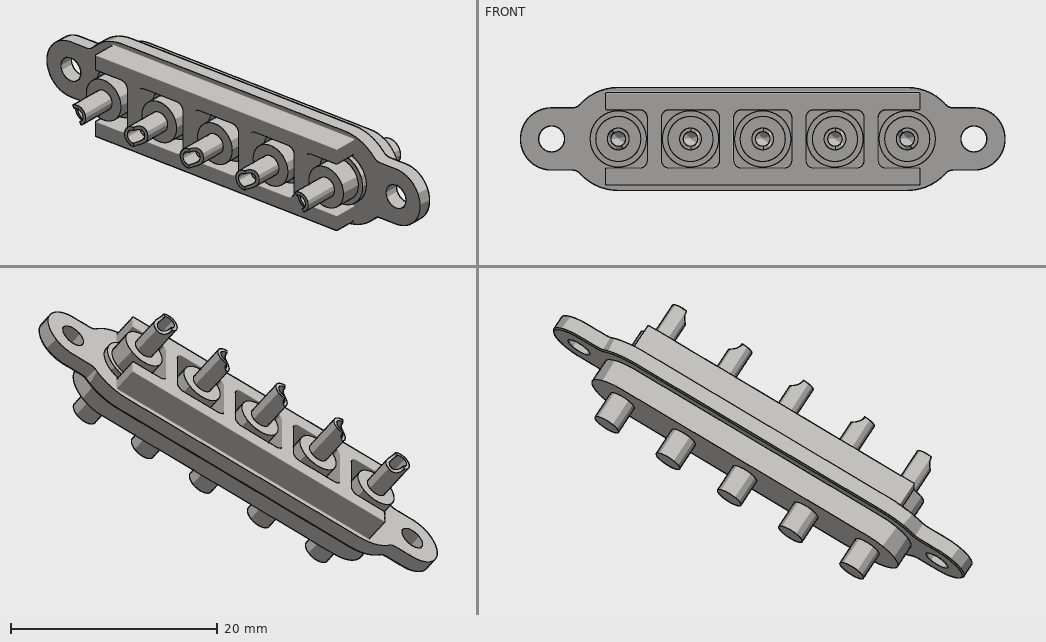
import cadquery as cq
import math


CONTACT_COUNT = 5
CONTACT_PITCH = 7.0
ROW_HALF_LENGTH = CONTACT_PITCH * (CONTACT_COUNT - 1) / 2

PLATE_LENGTH = 47.0
PLATE_HEIGHT = 10.0
PLATE_THICKNESS = 1.6
PLATE_REAR_CHAMFER = 0.15
EAR_WIDTH = 6.05
EAR_BLEND_RADIUS = 1.0
MOUNTING_HOLE_DIAMETER = 2.5

BLOCK_HEIGHT = 7.0
BLOCK_REAR_Y = 4.0

FRAME_LENGTH = 30.45
FRAME_HEIGHT = 9.0
FRAME_DEPTH = 2.7
FRAME_EDGE_RADIUS = 0.1
FRAME_BASE_RADIUS = 0.1
CELL_SIZE = 5.65
CELL_CORNER_RADIUS = 0.75

FLANGE_DIAMETER = 5.45
FLANGE_THICKNESS = 0.55
COLLAR_DIAMETER = 4.35
COLLAR_FRONT_DEPTH = 2.8
TAIL_DIAMETER = 2.1
TAIL_FRONT_DEPTH = 6.8
PIN_DIAMETER = 2.73
PIN_REAR_Y = 7.0
PIN_DOME_HEIGHT = 0.15

CUP_DIAMETER = 1.4
CUP_DEPTH = 1.9
CUP_POINT_ANGLE = 118.0
CUP_NOTCH_RADIUS = 1.0
END_CONTACT_TURN = 210.0


def contact_x_positions():
    return [-ROW_HALF_LENGTH + CONTACT_PITCH * index for index in range(CONTACT_COUNT)]


def face_at(y):
    """Sketch plane at the given Y with sketch axes along +X and +Z; it extrudes toward -Y."""
    return cq.Workplane("XZ", origin=(0, y, 0))


def make_plate():
    end_radius = PLATE_HEIGHT / 2
    ear_radius = EAR_WIDTH / 2
    ear_x = PLATE_LENGTH / 2 - ear_radius

    blend_z = ear_radius + EAR_BLEND_RADIUS
    centre_distance = end_radius + EAR_BLEND_RADIUS
    blend_x = ROW_HALF_LENGTH + math.sqrt(centre_distance**2 - blend_z**2)
    share = end_radius / centre_distance
    touch_x = ROW_HALF_LENGTH + (blend_x - ROW_HALF_LENGTH) * share
    touch_z = blend_z * share

    quarter = (
        face_at(PLATE_THICKNESS)
        .lineTo(0, end_radius)
        .lineTo(ROW_HALF_LENGTH, end_radius)
        .radiusArc((touch_x, touch_z), end_radius)
        .radiusArc((blend_x, ear_radius), -EAR_BLEND_RADIUS)
        .lineTo(ear_x, ear_radius)
        .radiusArc((ear_x + ear_radius, 0), ear_radius)
        .close()
        .extrude(PLATE_THICKNESS)
    )
    half = quarter.union(quarter.mirror("XY"))
    plate = half.union(half.mirror("YZ")).clean()
    plate = plate.faces(">Y").edges().chamfer(PLATE_REAR_CHAMFER)
    holes = (
        face_at(PLATE_THICKNESS)
        .pushPoints([(-ear_x, 0), (ear_x, 0)])
        .circle(MOUNTING_HOLE_DIAMETER / 2)
        .extrude(PLATE_THICKNESS)
    )
    return plate.cut(holes)


def make_rear_block():
    return (
        face_at(BLOCK_REAR_Y)
        .slot2D(2 * ROW_HALF_LENGTH + BLOCK_HEIGHT, BLOCK_HEIGHT)
        .extrude(BLOCK_REAR_Y)
    )


def make_front_frame():
    frame = face_at(0).rect(FRAME_LENGTH, FRAME_HEIGHT).extrude(FRAME_DEPTH)
    cells = (
        face_at(0)
        .pushPoints([(x, 0) for x in contact_x_positions()])
        .rect(CELL_SIZE, CELL_SIZE)
        .extrude(FRAME_DEPTH)
        .edges("|Y")
        .fillet(CELL_CORNER_RADIUS)
    )
    open_end = (
        face_at(0)
        .pushPoints([(-FRAME_LENGTH / 2, 0), (FRAME_LENGTH / 2, 0)])
        .rect(FRAME_LENGTH - 2 * ROW_HALF_LENGTH, CELL_SIZE)
        .extrude(FRAME_DEPTH)
    )
    frame = frame.cut(cells).cut(open_end)
    frame = frame.faces("<X or >X").edges("|Y").fillet(FRAME_EDGE_RADIUS)
    return frame.faces("<Y").edges().fillet(FRAME_EDGE_RADIUS)


def fillet_frame_base(housing):
    """Round the inside corner where the frame walls stand on the plate."""
    half_x = FRAME_LENGTH / 2 + FRAME_BASE_RADIUS
    half_y = FRAME_BASE_RADIUS / 2
    half_z = FRAME_HEIGHT / 2 + FRAME_BASE_RADIUS
    base_edges = cq.selectors.BoxSelector((-half_x, -half_y, -half_z), (half_x, half_y, half_z))
    return housing.edges(base_edges).fillet(FRAME_BASE_RADIUS)


def make_housing():
    contact_holes = (
        face_at(BLOCK_REAR_Y)
        .pushPoints([(x, 0) for x in contact_x_positions()])
        .circle(PIN_DIAMETER / 2)
        .extrude(BLOCK_REAR_Y)
    )
    solid_housing = make_plate().union(make_rear_block()).union(make_front_frame())
    return fillet_frame_base(solid_housing).cut(contact_holes)


def make_turned_body():
    """Stepped contact: tail, collar and flange in front, pin with a shallow domed tip at the rear."""
    tail_radius = TAIL_DIAMETER / 2
    collar_radius = COLLAR_DIAMETER / 2
    flange_radius = FLANGE_DIAMETER / 2
    pin_radius = PIN_DIAMETER / 2
    pin_shoulder_y = PIN_REAR_Y - PIN_DOME_HEIGHT
    dome_radius = (pin_radius**2 + PIN_DOME_HEIGHT**2) / (2 * PIN_DOME_HEIGHT)
    stepped_outline = [
        (0, PIN_REAR_Y),
        (0, -TAIL_FRONT_DEPTH),
        (tail_radius, -TAIL_FRONT_DEPTH),
        (tail_radius, -COLLAR_FRONT_DEPTH),
        (collar_radius, -COLLAR_FRONT_DEPTH),
        (collar_radius, -FLANGE_THICKNESS),
        (flange_radius, -FLANGE_THICKNESS),
        (flange_radius, 0),
        (pin_radius, 0),
        (pin_radius, pin_shoulder_y),
    ]
    return (
        cq.Workplane("XY")
        .polyline(stepped_outline)
        .radiusArc((0, PIN_REAR_Y), -dome_radius)
        .close()
        .revolve(360, (0, 0), (0, 1))
    )


def make_cup_bore():
    cup_radius = CUP_DIAMETER / 2
    bottom_y = CUP_DEPTH - TAIL_FRONT_DEPTH
    point_length = cup_radius / math.tan(math.radians(CUP_POINT_ANGLE / 2))
    profile = [
        (0, -TAIL_FRONT_DEPTH),
        (cup_radius, -TAIL_FRONT_DEPTH),
        (cup_radius, bottom_y),
        (0, bottom_y + point_length),
    ]
    return cq.Workplane("XY").polyline(profile).close().revolve(360, (0, 0), (0, 1))


def make_contact(x, turn):
    notch = (
        cq.Workplane("XY")
        .center(TAIL_DIAMETER / 2, -TAIL_FRONT_DEPTH)
        .circle(CUP_NOTCH_RADIUS)
        .extrude(TAIL_DIAMETER / 2, both=True)
    )
    contact = make_turned_body().cut(make_cup_bore()).cut(notch)
    return contact.rotate((0, 0, 0), (0, 1, 0), -turn).translate((x, 0, 0))


housing = make_housing()

contacts = []
for index, contact_x in enumerate(contact_x_positions()):
    is_outer = index in (0, CONTACT_COUNT - 1)
    contacts.append(make_contact(contact_x, END_CONTACT_TURN if is_outer else 0.0).val())

result = cq.Compound.makeCompound([housing.val(), *contacts])